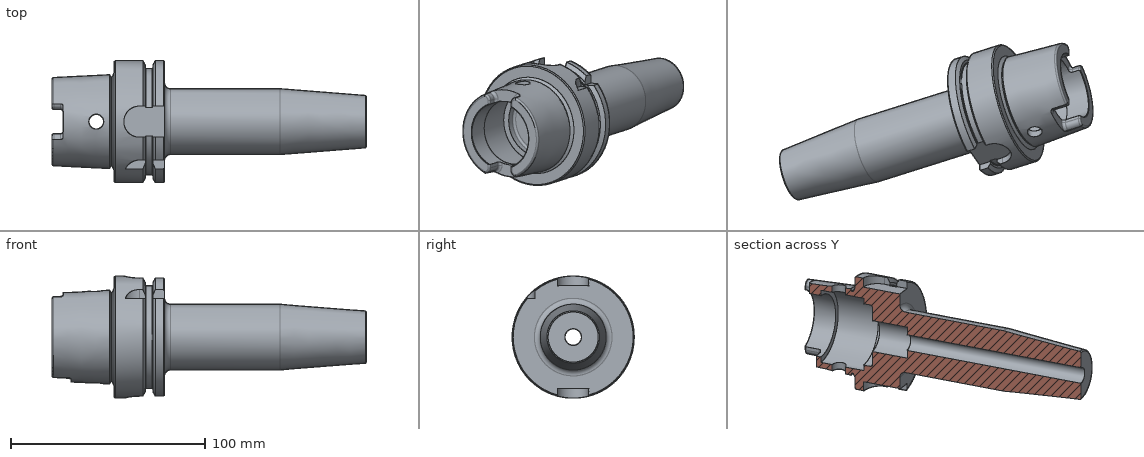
import cadquery as cq
import math

TAPER_END_X = -32.0
TIP_X = 130.0
FLANGE_LENGTH = 26.0
GRIP_GROOVE_X = 18.0
CROSS_HOLE_X = -9.2

GAUGE_RADIUS = 48.04 / 2
GAUGE_X = -6.3
TAPER_SLOPE = 1 / 20
TAPER_STOP_X = -2.3
RELIEF_RADIUS = 23.0
RELIEF_START_X = -1.7
RELIEF_END_X = -1.1
RELIEF_FACE_RADIUS = 25.2
TAPER_END_FILLET = 1.0
EDGE_TOLERANCE = 0.1

FLANGE_RADIUS = 63.0 / 2
FLANGE_CHAMFER = 0.6
GRIP_GROOVE_RADIUS = 27.5
GRIP_GROOVE_HALF_WIDTH = 1.9
GRIP_GROOVE_FLOOR_FILLET = 0.35
GRIP_FLANK_ANGLE = 30.0
GRIP_GROOVE_MOUTH_HALF_WIDTH = 3.25

SHANK_RADIUS = 34.0 / 2
SHANK_ROOT_FILLET = 3.0
TIP_RADIUS = 27.0 / 2
NOSE_ANGLE = 4.5
TIP_CHAMFER = 0.6

BORE_RADIUS = 34.0 / 2
BORE_DEPTH = 42.0
BORE_MOUTH_CHAMFER = 0.3
LIP_LENGTH = 12.5
CLAMP_CHAMBER_RADIUS = 40.0 / 2
CLAMP_CHAMBER_END_X = 5.0
BORE_FLOOR_FILLET = 1.2
COUNTERBORE_RADIUS = 17.0 / 2
COUNTERBORE_DEPTH = 20.0
COOLANT_HOLE_RADIUS = 8.4 / 2
CROSS_HOLE_DIAMETER = 7.5

END_SLOT_WIDTH = 12.4
END_SLOT_LIP_RADIUS = 3.0
END_SLOT_LIP_Z = 20.7
END_SLOT_FLOOR_FILLET = 1.5
UPPER_END_SLOT_DEPTH = 5.8
LOWER_END_SLOT_DEPTH = 9.8

KEYWAY_WIDTH = 16.0
KEYWAY_FLOOR_Z = 26.5
KEYWAY_ARC_X = 13.0
NOTCH_WALL_Y = -19.8
NOTCH_FLOOR_Z = 19.9


def taper_radius(x):
    """Radius of the hollow taper at a station on the axis."""
    return GAUGE_RADIUS + TAPER_SLOPE * (x - GAUGE_X)


def make_body():
    """Solid of revolution for the taper, flange, shank and nose."""
    nose_x = TIP_X - (SHANK_RADIUS - TIP_RADIUS) / math.tan(math.radians(NOSE_ANGLE))
    flank_depth = (GRIP_GROOVE_MOUTH_HALF_WIDTH - GRIP_GROOVE_HALF_WIDTH) / math.tan(
        math.radians(GRIP_FLANK_ANGLE)
    )
    flank_radius = FLANGE_RADIUS - flank_depth
    floor_half_width = GRIP_GROOVE_HALF_WIDTH - GRIP_GROOVE_FLOOR_FILLET
    floor_fillet_radius = GRIP_GROOVE_RADIUS + GRIP_GROOVE_FLOOR_FILLET
    chamfered_radius = FLANGE_RADIUS - FLANGE_CHAMFER
    profile = (
        cq.Workplane("XY")
        .moveTo(TAPER_END_X, 0)
        .lineTo(TAPER_END_X, taper_radius(TAPER_END_X))
        .lineTo(TAPER_STOP_X, taper_radius(TAPER_STOP_X))
        .lineTo(RELIEF_START_X, RELIEF_RADIUS)
        .lineTo(RELIEF_END_X, RELIEF_RADIUS)
        .lineTo(0, RELIEF_FACE_RADIUS)
        .lineTo(0, chamfered_radius)
        .lineTo(FLANGE_CHAMFER, FLANGE_RADIUS)
        .lineTo(GRIP_GROOVE_X - GRIP_GROOVE_MOUTH_HALF_WIDTH, FLANGE_RADIUS)
        .lineTo(GRIP_GROOVE_X - GRIP_GROOVE_HALF_WIDTH, flank_radius)
        .lineTo(GRIP_GROOVE_X - GRIP_GROOVE_HALF_WIDTH, floor_fillet_radius)
        .radiusArc((GRIP_GROOVE_X - floor_half_width, GRIP_GROOVE_RADIUS), -GRIP_GROOVE_FLOOR_FILLET)
        .lineTo(GRIP_GROOVE_X + floor_half_width, GRIP_GROOVE_RADIUS)
        .radiusArc((GRIP_GROOVE_X + GRIP_GROOVE_HALF_WIDTH, floor_fillet_radius), -GRIP_GROOVE_FLOOR_FILLET)
        .lineTo(GRIP_GROOVE_X + GRIP_GROOVE_HALF_WIDTH, flank_radius)
        .lineTo(GRIP_GROOVE_X + GRIP_GROOVE_MOUTH_HALF_WIDTH, FLANGE_RADIUS)
        .lineTo(FLANGE_LENGTH - FLANGE_CHAMFER, FLANGE_RADIUS)
        .lineTo(FLANGE_LENGTH, chamfered_radius)
        .lineTo(FLANGE_LENGTH, SHANK_RADIUS + SHANK_ROOT_FILLET)
        .radiusArc((FLANGE_LENGTH + SHANK_ROOT_FILLET, SHANK_RADIUS), -SHANK_ROOT_FILLET)
        .lineTo(nose_x, SHANK_RADIUS)
        .lineTo(TIP_X, TIP_RADIUS)
        .lineTo(TIP_X, 0)
        .close()
    )
    body = profile.revolve(360, (0, 0, 0), (1, 0, 0))
    return body.faces(">X").edges().chamfer(TIP_CHAMFER)


def axial_cylinder(radius, start_x, end_x):
    """Cylinder on the tool axis between two stations."""
    return cq.Workplane("YZ", origin=(start_x, 0, 0)).circle(radius).extrude(end_x - start_x)


def make_cavity():
    """Bore with a clamping chamber behind its lip, counterbore and through coolant hole."""
    floor_x = TAPER_END_X + BORE_DEPTH
    bore = axial_cylinder(BORE_RADIUS, TAPER_END_X, floor_x)
    bore = bore.faces(">X").edges().fillet(BORE_FLOOR_FILLET)
    chamber = axial_cylinder(CLAMP_CHAMBER_RADIUS, TAPER_END_X + LIP_LENGTH, CLAMP_CHAMBER_END_X)
    counterbore = axial_cylinder(COUNTERBORE_RADIUS, TAPER_END_X, floor_x + COUNTERBORE_DEPTH)
    coolant_hole = axial_cylinder(COOLANT_HOLE_RADIUS, TAPER_END_X, TIP_X)
    return bore.union(chamber).union(counterbore).union(coolant_hole)


def make_end_slot(depth, side):
    """Drive slot cutter for the upper (side = 1) or lower (side = -1) wall of the taper."""
    half_width = END_SLOT_WIDTH / 2
    lip = END_SLOT_LIP_RADIUS
    lip_start_z = END_SLOT_LIP_Z - lip
    top_z = FLANGE_RADIUS
    slot = (
        cq.Workplane("YZ", origin=(TAPER_END_X, 0, 0))
        .moveTo(-half_width, 0)
        .lineTo(-half_width, lip_start_z)
        .radiusArc((-half_width - lip, END_SLOT_LIP_Z), -lip)
        .lineTo(-half_width - lip, top_z)
        .lineTo(half_width + lip, top_z)
        .lineTo(half_width + lip, END_SLOT_LIP_Z)
        .radiusArc((half_width, lip_start_z), -lip)
        .lineTo(half_width, 0)
        .close()
        .extrude(depth)
    )
    floor_edges = slot.faces(">X").edges("not <Z").edges("not >Z")
    slot = floor_edges.fillet(END_SLOT_FLOOR_FILLET)
    if side < 0:
        slot = slot.mirror("XY")
    return slot


def make_taper_end_rounding():
    """Ring that rounds the outer edge of the taper end."""
    fillet = TAPER_END_FILLET
    end_radius = taper_radius(TAPER_END_X)
    ring = (
        cq.Workplane("XY")
        .moveTo(TAPER_END_X, end_radius - fillet)
        .radiusArc((TAPER_END_X + fillet, taper_radius(TAPER_END_X + fillet)), fillet)
        .lineTo(TAPER_END_X + fillet, FLANGE_RADIUS)
        .lineTo(TAPER_END_X, FLANGE_RADIUS)
        .close()
    )
    return ring.revolve(360, (0, 0, 0), (1, 0, 0))


def make_bore_mouth():
    """Cone that breaks the inner edge of the taper end."""
    mouth_radius = BORE_RADIUS + BORE_MOUTH_CHAMFER
    axis = cq.Vector(1, 0, 0)
    mouth = cq.Solid.makeCone(mouth_radius, 0, mouth_radius, cq.Vector(TAPER_END_X, 0, 0), axis)
    return cq.Workplane(mouth)


def is_slot_wall_edge(edge):
    """True for an end face edge lying between the bore and the outer edge of the taper."""
    middle = edge.positionAt(0.5)
    radius = math.hypot(middle.y, middle.z)
    return BORE_RADIUS + EDGE_TOLERANCE < radius < taper_radius(TAPER_END_X) - EDGE_TOLERANCE


def round_taper_end(part):
    """Round the end face into the slot walls and the taper, and break the bore edge."""
    wall_edges = [edge for edge in part.faces("<X").edges().vals() if is_slot_wall_edge(edge)]
    part = part.newObject(wall_edges).fillet(TAPER_END_FILLET)
    return part.cut(make_taper_end_rounding()).cut(make_bore_mouth())


def make_keyway():
    """Round-ended keyway cutter, open towards the nose."""
    radius = KEYWAY_WIDTH / 2
    round_end = cq.Workplane("XY").center(KEYWAY_ARC_X, 0).circle(radius).extrude(FLANGE_RADIUS)
    length = FLANGE_LENGTH - KEYWAY_ARC_X
    channel = cq.Workplane("XY").box(length, KEYWAY_WIDTH, FLANGE_RADIUS, centered=(False, True, False))
    return round_end.union(channel.translate((KEYWAY_ARC_X, 0, 0)))


def make_cross_holes():
    """Radial hole through the upper and lower walls of the taper."""
    hole = cq.Workplane("XY").center(CROSS_HOLE_X, 0).circle(CROSS_HOLE_DIAMETER / 2)
    return hole.extrude(FLANGE_RADIUS, both=True)


result = make_body().cut(make_cavity())

result = result.cut(make_end_slot(UPPER_END_SLOT_DEPTH, 1))
result = result.cut(make_end_slot(LOWER_END_SLOT_DEPTH, -1))
result = round_taper_end(result)
result = result.cut(make_cross_holes())

upper_keyway = make_keyway().translate((0, 0, KEYWAY_FLOOR_Z))
result = result.cut(upper_keyway).cut(upper_keyway.mirror("XY"))
notch = make_keyway().translate((0, NOTCH_WALL_Y - KEYWAY_WIDTH / 2, NOTCH_FLOOR_Z))
result = result.cut(notch)